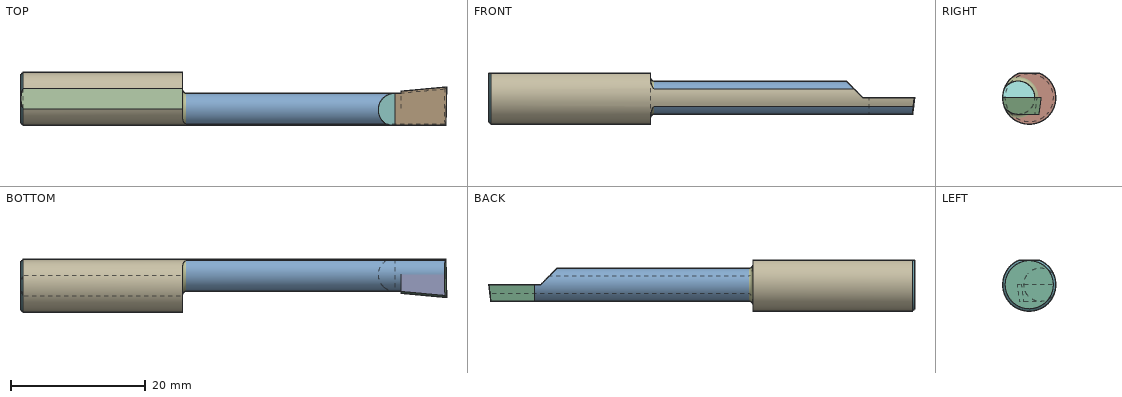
import cadquery as cq
import math

length = 63.5
shank_diameter = 7.95
shank_length = 24.1
shank_chamfer = 0.4
flat_depth = 0.3

neck_radius = 2.5
neck_offset = -1.65
root_fillet = 0.6

rake_start = 55.75
head_start = 56.65
head_side_start = 1.15
tip_y = 1.8
end_lead = 0.2
clearance_angle = 7.0
margin = 3.2

shank_radius = shank_diameter / 2


def rod(radius, start, end, axis_y=0.0):
    """Cylinder along X between two stations."""
    return cq.Workplane("YZ", origin=(start, axis_y, 0)).circle(radius).extrude(end - start)


def make_shank():
    shank = rod(shank_radius, 0, shank_length).faces("<X").chamfer(shank_chamfer)
    flat = cq.Workplane("XY", origin=(0, 0, shank_radius - flat_depth)).rect(
        2 * length, 2 * shank_diameter).extrude(margin)
    return shank.cut(flat)


def make_neck():
    """Turned neck with a concave root fillet, up to the start of the head."""
    root_x = shank_length + root_fillet
    diagonal = root_fillet * (1 - math.sqrt(0.5))
    return (
        cq.Workplane("XY", origin=(0, neck_offset, 0))
        .moveTo(shank_length, 0)
        .lineTo(shank_length, neck_radius + root_fillet)
        .threePointArc((shank_length + diagonal, neck_radius + diagonal), (root_x, neck_radius))
        .lineTo(head_start, neck_radius)
        .lineTo(head_start, 0)
        .close()
        .revolve(360, (0, 0, 0), (1, 0, 0))
    )


def make_head():
    """Neck section widened towards +Y, trimmed by the drafted plan outline."""
    stock_length = length - head_start
    widening = cq.Workplane("XY").box(
        stock_length, tip_y - neck_offset, neck_radius, centered=False
    ).translate((head_start, neck_offset, -neck_radius))
    stock = rod(neck_radius, head_start, length, neck_offset).union(widening)
    side_slope = (tip_y - head_side_start) / stock_length
    inner_x = head_start - margin
    outer_y = -shank_radius - margin
    plan = (
        cq.Workplane("XY")
        .polyline([
            (inner_x, outer_y),
            (length - end_lead, outer_y),
            (length, tip_y),
            (inner_x, tip_y - side_slope * (length - inner_x)),
        ])
        .close()
        .extrude(-neck_radius, taper=clearance_angle)
    )
    return stock.intersect(plan)


def make_top_relief():
    """Removes the upper half at the head, ending in a 45 degree slope."""
    height = neck_radius + margin
    return (
        cq.Workplane("XZ")
        .polyline([
            (rake_start, 0),
            (length + margin, 0),
            (length + margin, height),
            (rake_start - height, height),
        ])
        .close()
        .extrude(shank_diameter, both=True)
    )


cutting_end = make_neck().union(make_head()).cut(make_top_relief())
cutting_end = cutting_end.intersect(rod(shank_radius, shank_length, length))
result = make_shank().union(cutting_end)